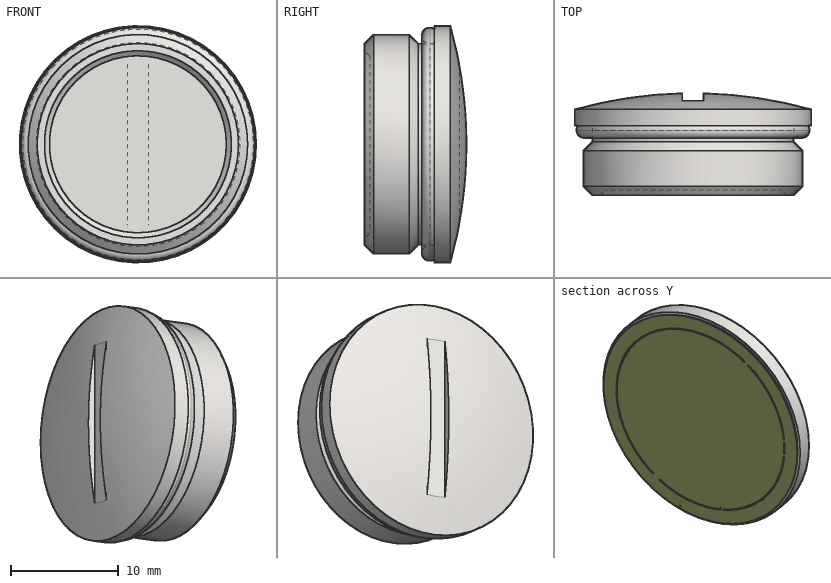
import cadquery as cq

flange_diameter = 22.0
body_diameter = 20.4
neck_diameter = 18.7
chamfer = (body_diameter - neck_diameter) / 2
body_length = 5.0
flange_start = 6.5
flange_thickness = 1.5
flange_end = flange_start + flange_thickness
apex_height = 9.5

ring_section_diameter = 1.5
ring_start = 5.32

recess_mouth_diameter = 17.38
recess_floor_diameter = 16.43
recess_depth = 0.5

slot_width = 1.94
slot_depth = 0.7

flange_radius = flange_diameter / 2
body_radius = body_diameter / 2
neck_radius = neck_diameter / 2
dome_rise = apex_height - flange_end
dome_radius = (flange_radius**2 + dome_rise**2) / (2 * dome_rise)
dome_center_y = apex_height - dome_radius
dome_mid_x = flange_radius / 2
dome_mid_y = dome_center_y + (dome_radius**2 - dome_mid_x**2) ** 0.5


def make_plug():
    """Chamfered body, neck, flange and dome revolved about Y."""
    return (
        cq.Workplane("XY")
        .moveTo(0, recess_depth)
        .lineTo(recess_floor_diameter / 2, recess_depth)
        .lineTo(recess_mouth_diameter / 2, 0)
        .lineTo(neck_radius, 0)
        .lineTo(body_radius, chamfer)
        .lineTo(body_radius, body_length - chamfer)
        .lineTo(neck_radius, body_length)
        .lineTo(neck_radius, flange_start)
        .lineTo(flange_radius, flange_start)
        .lineTo(flange_radius, flange_end)
        .threePointArc((dome_mid_x, dome_mid_y), (0, apex_height))
        .close()
        .revolve(360, (0, 0), (0, 1))
    )


def make_ring():
    """Sealing ring of circular section, resting on the neck."""
    ring_section_radius = ring_section_diameter / 2
    ring_center_x = neck_radius + ring_section_radius
    ring_center_y = ring_start + ring_section_radius
    return (
        cq.Workplane("XY")
        .center(ring_center_x, ring_center_y)
        .circle(ring_section_radius)
        .revolve(360, (-ring_center_x, 0), (-ring_center_x, 1))
    )


def make_slot():
    """Straight slot running along Z through the crown of the dome."""
    return cq.Workplane("XY").box(slot_width, 2 * slot_depth, flange_diameter).translate(
        (0, apex_height, 0)
    )


result = make_plug().union(make_ring()).cut(make_slot())